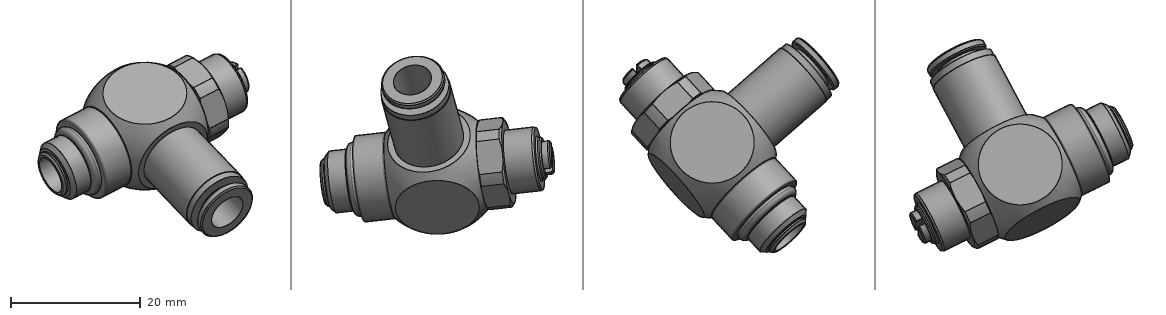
import cadquery as cq
import math

body_half_width = 7.5
body_half_length = 7.25
body_face_radius = 6.5
sphere_radius = math.hypot(body_half_width, body_face_radius)

overall_length = 35.9
screw_end = 18.02
nose_end = screw_end - overall_length

collar_radius = 6.75
collar_end = -12.17
collar_edge = 0.18
seal_centre_radius = 4.95
seal_section_radius = 0.83
seal_position = -12.7
thread_radius = 4.85
thread_start = seal_position - seal_section_radius
thread_end = -17.1
thread_start_chamfer = 0.15
thread_end_chamfer = 0.7
nose_radius = 3.75
nose_start_chamfer = 0.15
nose_end_chamfer = 0.35

hex_end = 11.27
hex_flat_distance = 13.0
hex_corner_radius = 7.0
hex_turn = 30
hex_outer_chamfer = (0.5, 0.32)
hex_inner_chamfer = (0.35, 0.15)
bonnet_radius = 5.0
bonnet_end = 16.05
bonnet_bevel = (0.15, 0.32)
cap_base_radius = 3.55
cap_radius = 3.3
cap_waist = 16.35
cap_end = 16.85
cap_bevel = 0.25
screw_radius = 2.62
screw_chamfer = 0.2
slot_width = 0.95

arm_radius = 5.45
arm_end = 18.92
sleeve_radius = 5.35
sleeve_end = 20.05
neck_radius = 3.63
flange_radius = 4.92
flange_start = 20.9
flange_end = 22.15
flange_chamfer = 0.2

bore_radius = 2.98
drill_tip_angle = 118.0
drill_tip_depth = bore_radius / math.tan(math.radians(drill_tip_angle / 2))


def cylinder_y(radius, start, end):
    """Cylinder on the Y axis between two Y positions."""
    return cq.Workplane("XZ", origin=(0, start, 0)).circle(radius).extrude(start - end)


def cylinder_x(radius, start, end):
    """Cylinder on the X axis between two X positions."""
    return cq.Workplane("YZ", origin=(start, 0, 0)).circle(radius).extrude(end - start)


def revolve_y(points):
    """Solid turned about the Y axis from (radius, y) points."""
    return cq.Workplane("XY").polyline(points).close().revolve(360, (0, 0, 0), (0, 1, 0))


def make_body():
    block = cq.Workplane("XY").box(2 * body_half_width, 2 * body_half_length, 2 * body_half_width)
    return block.intersect(cq.Workplane("XY").sphere(sphere_radius))


def make_threaded_end():
    collar = cylinder_y(collar_radius, -body_half_length, collar_end).edges("%CIRCLE").fillet(collar_edge)
    seal_core = cylinder_y(seal_centre_radius, collar_end, thread_start)
    seal_rim = (
        cq.Workplane("XY")
        .center(seal_centre_radius, seal_position)
        .circle(seal_section_radius)
        .revolve(360, (-seal_centre_radius, 0, 0), (-seal_centre_radius, 1, 0))
    )
    core = cylinder_y(nose_radius - nose_start_chamfer, 0, thread_end)
    thread = cylinder_y(thread_radius, thread_start, thread_end)
    thread = thread.faces(">Y").chamfer(thread_start_chamfer)
    thread = thread.faces("<Y").chamfer(thread_end_chamfer)
    nose = cylinder_y(nose_radius, thread_end, nose_end)
    nose = nose.faces(">Y").chamfer(nose_start_chamfer)
    nose = nose.faces("<Y").chamfer(nose_end_chamfer)
    return core.union(collar).union(seal_core).union(seal_rim).union(thread).union(nose)


def make_hex():
    prism = (
        cq.Workplane("XZ", origin=(0, body_half_length, 0))
        .polygon(6, hex_flat_distance, circumscribed=True)
        .extrude(body_half_length - hex_end)
    )
    prism = prism.rotate((0, 0, 0), (0, 1, 0), hex_turn)
    inner_width, inner_height = hex_inner_chamfer
    outer_width, outer_height = hex_outer_chamfer
    turned_blank = revolve_y([
        (0, body_half_length),
        (hex_corner_radius - inner_width, body_half_length),
        (hex_corner_radius, body_half_length + inner_height),
        (hex_corner_radius, hex_end - outer_height),
        (hex_corner_radius - outer_width, hex_end),
        (0, hex_end),
    ])
    return prism.intersect(turned_blank)


def make_bonnet():
    bevel_width, bevel_height = bonnet_bevel
    bonnet = revolve_y([
        (0, 0),
        (bonnet_radius, 0),
        (bonnet_radius, bonnet_end - bevel_height),
        (bonnet_radius - bevel_width, bonnet_end),
        (0, bonnet_end),
    ])
    cap = revolve_y([
        (0, bonnet_end),
        (cap_base_radius, bonnet_end),
        (cap_radius, cap_waist),
        (cap_radius, cap_end - cap_bevel),
        (cap_radius - cap_bevel, cap_end),
        (0, cap_end),
    ])
    screw = cylinder_y(screw_radius, 0, screw_end).faces(">Y").chamfer(screw_chamfer)
    slot_depth = screw_end - cap_end
    slot = cq.Workplane("XY").box(slot_width, slot_depth, 2 * screw_radius)
    slot = slot.translate((0, cap_end + slot_depth / 2, 0))
    return bonnet.union(cap).union(screw).cut(slot)


def make_arm():
    arm = cylinder_x(arm_radius, 0, arm_end)
    sleeve = cylinder_x(sleeve_radius, 0, sleeve_end)
    neck = cylinder_x(neck_radius, 0, flange_end)
    flange = cylinder_x(flange_radius, flange_start, flange_end).edges().chamfer(flange_chamfer)
    return arm.union(sleeve).union(neck).union(flange)


def make_nose_bore():
    """Blind bore from the -Y end with its drill tip past the centre."""
    return revolve_y([(0, nose_end), (bore_radius, nose_end), (bore_radius, 0), (0, drill_tip_depth)])


def make_arm_bore():
    """Blind bore from the +X end with its drill tip past the centre."""
    profile = [(flange_end, 0), (flange_end, bore_radius), (0, bore_radius), (-drill_tip_depth, 0)]
    return cq.Workplane("XY").polyline(profile).close().revolve(360, (0, 0, 0), (1, 0, 0))


result = (
    make_body()
    .union(make_threaded_end())
    .union(make_hex())
    .union(make_bonnet())
    .union(make_arm())
    .cut(make_nose_bore())
    .cut(make_arm_bore())
)